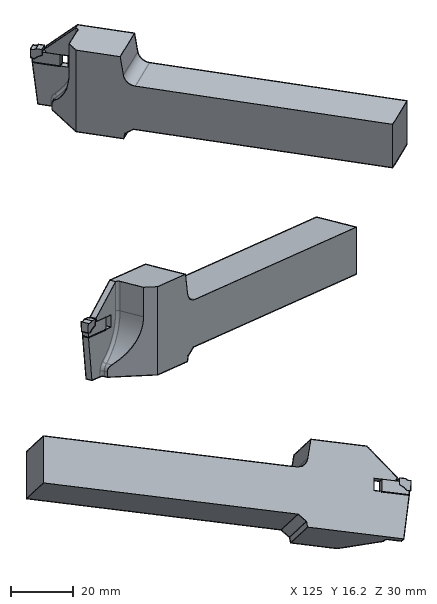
import cadquery as cq
import math


total_length = 125.0
shank_size = 16.0
shank_bottom = 4.0
shank_top = shank_bottom + shank_size
head_height = 30.0
head_top_rear_x = 34.0
neck_foot_x = 35.6
neck_radius = 4.0
lower_rear_x = 35.1
lower_step_x = 35.5
lower_step_z = 1.9
lower_neck_x = 38.4
bevel_end_x = 19.2

blade_thickness = 2.4
blade_bottom_x = 2.4
blade_front_x = 0.5
nose_x = 4.5
nose_z = 20.5
blade_top_x = 15.0

wall_x = 16.0
wall_radius = 21.0
wall_foot_radius = 3.0
wall_foot_z = 1.9
root_fillet = 1.0

slot_top = 19.4
slot_floor = 15.2
slot_end_x = 12.5
stop_x = 9.9
seat_drop = 0.2
nose_undercut_x = 5.1

insert_width = 3.0
insert_overhang = 0.2
tip_z = 20.1
rake_low = (1.1, 20.06)
rake_end = (1.9, 20.5)
cutter_top = 20.5
cutter_rear_x = 3.9
cutter_front_bottom = 16.8
cutter_heel_x = 1.2
cutter_heel_z = 16.5
cutter_side_taper = 0.2
cutter_shoulder = (2.4, 17.5)
cutter_rear_bottom = 18.2
cutter_relief_x = 0.2


def extrude_towards_front(sketch, back_y, thickness):
    """Extrude an XZ outline from back_y towards -Y."""
    return sketch.extrude(thickness).translate((0, back_y, 0))


def make_holder_blank():
    """Full side outline, with the neck rounded where it meets the shank."""
    outline = (
        cq.Workplane("XZ")
        .moveTo(blade_bottom_x, 0)
        .lineTo(lower_rear_x, 0)
        .lineTo(lower_step_x, lower_step_z)
        .lineTo(lower_neck_x, shank_bottom)
        .lineTo(total_length, shank_bottom)
        .lineTo(total_length, shank_top)
        .lineTo(neck_foot_x, shank_top)
        .lineTo(head_top_rear_x, head_height)
        .lineTo(blade_top_x, head_height)
        .lineTo(nose_x, nose_z)
        .lineTo(nose_undercut_x, slot_top)
        .lineTo(blade_front_x, slot_top)
        .lineTo(blade_front_x, slot_floor)
        .close()
    )
    blank = extrude_towards_front(outline, 0, shank_size)
    neck_edge = cq.selectors.NearestToPointSelector((neck_foot_x, -shank_size / 2, shank_top))
    return blank.edges(neck_edge).fillet(neck_radius)


def make_bevel_cutter():
    """45 degree bevel across the front corner of the head."""
    return (
        cq.Workplane("XY")
        .moveTo(bevel_end_x, -shank_size)
        .lineTo(bevel_end_x - shank_size, 0)
        .lineTo(-shank_size, 0)
        .lineTo(-shank_size, -shank_size)
        .close()
        .extrude(head_height)
        .intersect(
            cq.Workplane("XY").box(total_length, shank_size, head_height, centered=False)
            .translate((-shank_size, -blade_thickness - shank_size, 0))
        )
    )


def make_relief_cutter():
    """Space in front of the blade, rounded where its curved wall meets the blade."""
    arc_center_x = wall_x - wall_radius
    centers_distance = wall_radius + wall_foot_radius
    sweep = math.asin((shank_top - wall_foot_z) / centers_distance)
    foot_center_x = arc_center_x + centers_distance * math.cos(sweep)

    def wall_point(angle):
        return (arc_center_x + wall_radius * math.cos(angle), shank_top - wall_radius * math.sin(angle))

    def foot_point(angle):
        return (
            foot_center_x - wall_foot_radius * math.cos(angle),
            wall_foot_z + wall_foot_radius * math.sin(angle),
        )

    outline = (
        cq.Workplane("XZ")
        .moveTo(-shank_size, head_height)
        .lineTo(wall_x, head_height)
        .lineTo(wall_x, shank_top)
        .threePointArc(wall_point(sweep / 2), wall_point(sweep))
        .threePointArc(foot_point(sweep / 2), foot_point(0))
        .lineTo(foot_center_x - wall_foot_radius, 0)
        .lineTo(-shank_size, 0)
        .close()
    )
    cutter = extrude_towards_front(outline, -blade_thickness, shank_size)
    root_edges = cq.selectors.BoxSelector(
        (0, -blade_thickness - root_fillet / 2, 0),
        (total_length, 0, head_height - root_fillet),
    )
    return cutter.edges(root_edges).fillet(root_fillet)


def make_slot_cutter():
    """Slot through the blade; its seat is slightly lower up to the stop."""
    outline = (
        cq.Workplane("XZ")
        .moveTo(0, slot_top)
        .lineTo(slot_end_x, slot_top)
        .lineTo(slot_end_x, slot_floor)
        .lineTo(stop_x, slot_floor)
        .lineTo(stop_x, slot_floor - seat_drop)
        .lineTo(0, slot_floor - seat_drop)
        .close()
    )
    return extrude_towards_front(outline, 0, blade_thickness)


def make_holder():
    return (
        make_holder_blank()
        .cut(make_bevel_cutter())
        .cut(make_relief_cutter())
        .cut(make_slot_cutter())
    )


def make_insert():
    """Wide cutting head, narrowing downwards, on a narrow tongue that fills the front of the slot."""
    head_outline = (
        cq.Workplane("XZ")
        .moveTo(0, tip_z)
        .threePointArc(rake_low, rake_end)
        .lineTo(cutter_rear_x, cutter_top)
        .lineTo(cutter_rear_x, cutter_rear_bottom)
        .lineTo(*cutter_shoulder)
        .lineTo(cutter_heel_x, cutter_heel_z)
        .lineTo(cutter_relief_x, cutter_front_bottom)
        .lineTo(0, cutter_front_bottom)
        .close()
    )
    back_y = insert_overhang
    front_y = insert_overhang - insert_width
    side_taper = (
        cq.Workplane("YZ")
        .moveTo(back_y, cutter_top)
        .lineTo(front_y, cutter_top)
        .lineTo(front_y + cutter_side_taper, cutter_heel_z)
        .lineTo(back_y - cutter_side_taper, cutter_heel_z)
        .close()
        .extrude(cutter_rear_x)
    )
    head = extrude_towards_front(head_outline, back_y, insert_width).intersect(side_taper)
    tongue_outline = (
        cq.Workplane("XZ")
        .moveTo(blade_front_x, slot_floor)
        .lineTo(stop_x, slot_floor)
        .lineTo(stop_x, slot_top)
        .lineTo(blade_front_x, slot_top)
        .close()
    )
    tongue = extrude_towards_front(tongue_outline, 0, blade_thickness)
    return head.union(tongue)


holder = make_holder()
insert = make_insert()

result = cq.Compound.makeCompound([holder.val(), insert.val()])